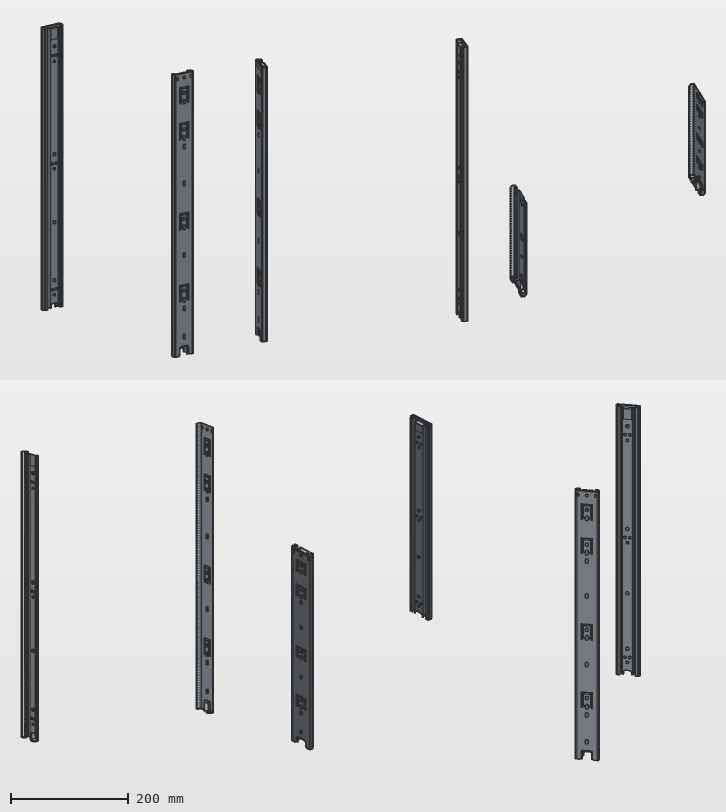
import cadquery as cq
import math

overall_width = 364.0
rail_length = 500.0
overall_height = 42.5
half_height = overall_height / 2
slide_depth = 12.5
sheet = 1.25
clearance = 0.25

track_bulge = 1.5
web_corner_y = half_height - track_bulge
web_half = 18.5
corner_radius = web_corner_y - web_half
lip_x = 11.0
lip_radius = 1.5
track_start_x = 2.0
track_end_x = 8.5
track_peak_x = (track_start_x + track_end_x) / 2
lip_end_y = 13.0

middle_x = 2.75
middle_web_half = 12.0
middle_arm_end_x = 9.5
middle_arm_end_y = 16.5

inner_half = 9.5
inner_back_x = middle_x + sheet + clearance
inner_setback = 2.5
inner_corner_radius = 1.5

stop_length = 20.0
stop_half = 7.0
stop_back_x = 5.5
stop_front_x = slide_depth - sheet

tongue_tops = (476.0, 412.5, 252.5, 125.5)
window_half = 9.5
window_length = 29.0
pad_half = 6.0
tip_gap = 1.75
tongue_rim = 1.75
tongue_half = pad_half + tongue_rim
rim_depth = 0.75
tip_notch_half = 3.5
tongue_step = 1.0
tongue_root = 3.5

hole_diameter = 6.0
slot_width = 5.0
slot_length = 8.5
end_hole_z = 492.5
end_hole_diameter = 5.0
upper_tongue_holes = (465.0, 400.5, 241.5, 114.5)
lower_tongue_holes = (449.5, 385.5, 227.0, 98.5)
web_slots = (370.0, 305.0, 177.5, 83.5, 33.5)
sight_hole_z = upper_tongue_holes[0]

inner_large_holes = (273.5, 153.5, 50.5)
inner_small_holes = (438.5, 248.0, 25.0)
inner_hole_pairs = (449.0, 257.5, 34.5)
small_diameter = 4.5
pair_offset = 4.0

crimp_inner = 13.5
crimp_outer = 17.0
crimp_height = 5.0

outer_notch = (9.5, 17.0)
middle_notch = (8.0, 14.0)
inner_notch = (7.0, 10.0)
notch_bevel = 2.5


def block(x0, x1, y0, y1, z0, z1):
    return cq.Workplane().box(x1 - x0, y1 - y0, z1 - z0, centered=False).translate((x0, y0, z0))


def hole(diameter, z, y=0):
    cutter = cq.Workplane("YZ").center(y, z).circle(diameter / 2)
    return cutter.extrude(slide_depth)


def slot(width, length, z):
    cutter = cq.Workplane("YZ").center(0, z).slot2D(length, width, 90)
    return cutter.extrude(slide_depth)


def end_notch(size):
    """Opening at the lower end with bevelled upper corners."""
    half, height = size
    points = [
        (-half, 0),
        (half, 0),
        (half, height - notch_bevel),
        (half - notch_bevel, height),
        (notch_bevel - half, height),
        (-half, height - notch_bevel),
    ]
    return cq.Workplane("YZ").polyline(points).close().extrude(slide_depth)


def notch_mouth():
    """Flare that widens the outer rail's notch at its open end."""
    half = outer_notch[0]
    points = [
        (-half - notch_bevel, 0),
        (half + notch_bevel, 0),
        (half, notch_bevel),
        (-half, notch_bevel),
    ]
    return cq.Workplane("YZ").polyline(points).close().extrude(sheet)


def outer_half(side):
    """One half of the outer section: web, round corner, bulging ball track and curled lip."""
    diagonal = math.sqrt(0.5)
    corner_mid = (
        corner_radius * (1 - diagonal),
        side * (web_half + corner_radius * diagonal),
    )
    lip_start_x = lip_x - lip_radius
    lip_mid = (
        lip_start_x + lip_radius * diagonal,
        side * (web_corner_y - lip_radius * (1 - diagonal)),
    )
    inner_arm_y = web_corner_y - sheet
    inner_lip_x = lip_x - sheet
    section = (
        cq.Workplane()
        .lineTo(0, side * web_half)
        .threePointArc(corner_mid, (corner_radius, side * web_corner_y))
        .lineTo(track_start_x, side * web_corner_y)
        .threePointArc((track_peak_x, side * half_height), (track_end_x, side * web_corner_y))
        .lineTo(lip_start_x, side * web_corner_y)
        .threePointArc(lip_mid, (lip_x, side * (web_corner_y - lip_radius)))
        .lineTo(lip_x, side * lip_end_y)
        .lineTo(inner_lip_x, side * lip_end_y)
        .lineTo(inner_lip_x, side * (web_corner_y - lip_radius))
        .lineTo(track_end_x - sheet, side * inner_arm_y)
        .threePointArc(
            (track_peak_x, side * (half_height - sheet)),
            (track_start_x + sheet, side * inner_arm_y),
        )
        .lineTo(sheet, side * (web_half - sheet))
        .lineTo(sheet, 0)
        .close()
    )
    return section.extrude(rail_length)


def tongue(top):
    """Strip pressed inwards, joined to the web at its lower end, with a thinned border."""
    bottom = top - window_length
    bend = bottom + tongue_root
    tip = top - tip_gap
    back = tongue_step + sheet
    profile = [
        (0, bottom),
        (0, bend - tongue_step),
        (tongue_step, bend),
        (tongue_step, tip),
        (back, tip),
        (back, bend),
        (sheet, bend - tongue_step),
        (sheet, bottom),
    ]
    strip = cq.Workplane("XZ").polyline(profile).close().extrude(tongue_half, both=True)
    pad_top = tip - tongue_rim
    rim_back = tongue_step + rim_depth
    strip = strip.cut(block(0, rim_back, pad_half, tongue_half, bend, tip))
    strip = strip.cut(block(0, rim_back, -tongue_half, -pad_half, bend, tip))
    strip = strip.cut(block(0, rim_back, -pad_half, pad_half, pad_top, tip))
    return strip.cut(block(0, back, -tip_notch_half, tip_notch_half, pad_top, tip))


def make_outer_rail():
    rail = outer_half(1).union(outer_half(-1))
    for top in tongue_tops:
        bottom = top - window_length
        rail = rail.cut(block(0, sheet, -window_half, window_half, bottom, top))
        rail = rail.union(tongue(top))
    for z in upper_tongue_holes:
        rail = rail.cut(hole(hole_diameter, z))
    for z in lower_tongue_holes + web_slots:
        rail = rail.cut(slot(slot_width, slot_length, z))
    rail = rail.cut(hole(end_hole_diameter, end_hole_z))
    crimp_low = end_hole_z - crimp_height / 2
    crimp_high = end_hole_z + crimp_height / 2
    rail = rail.cut(block(0, sheet, crimp_inner, crimp_outer, crimp_low, crimp_high))
    rail = rail.cut(block(0, sheet, -crimp_outer, -crimp_inner, crimp_low, crimp_high))
    return rail.cut(end_notch(outer_notch)).cut(notch_mouth())


def make_middle_rail():
    run_x = middle_arm_end_x - middle_x - sheet
    run_y = middle_arm_end_y - middle_web_half
    slope = math.hypot(run_x, run_y)
    across_x = sheet * run_y / slope
    across_y = sheet * run_x / slope
    front_x = middle_x + sheet
    half = [
        (front_x, middle_web_half),
        (middle_arm_end_x, middle_arm_end_y),
        (middle_arm_end_x - across_x, middle_arm_end_y + across_y),
        (middle_x, middle_web_half + across_y),
    ]
    mirrored = [(x, -y) for x, y in reversed(half)]
    rail = cq.Workplane().polyline(half + mirrored).close().extrude(rail_length)
    return rail.cut(hole(hole_diameter, sight_hole_z)).cut(end_notch(middle_notch))


def make_inner_rail():
    front_x = slide_depth - sheet
    low = inner_setback
    high = rail_length - inner_setback
    rail = block(inner_back_x, slide_depth, -inner_half, inner_half, low, high)
    channel = block(inner_back_x, front_x, sheet - inner_half, inner_half - sheet, low, high)
    rail = rail.edges("|Z and >X").fillet(inner_corner_radius).cut(channel)
    for z in (sight_hole_z,) + inner_large_holes:
        rail = rail.cut(hole(hole_diameter, z))
    for z in inner_small_holes:
        rail = rail.cut(hole(small_diameter, z))
    for z in inner_hole_pairs:
        for y in (pair_offset, -pair_offset):
            rail = rail.cut(hole(small_diameter, z, y))
    return rail.cut(end_notch(inner_notch))


def make_end_stop():
    high = rail_length - inner_setback
    return block(stop_back_x, stop_front_x, -stop_half, stop_half, high - stop_length, high)


slide = [make_outer_rail(), make_middle_rail(), make_inner_rail(), make_end_stop()]
left_slide = [body.translate((-overall_width / 2, 0, 0)) for body in slide]
right_slide = [body.mirror("YZ") for body in left_slide]

result = cq.Compound.makeCompound([body.val() for body in left_slide + right_slide])